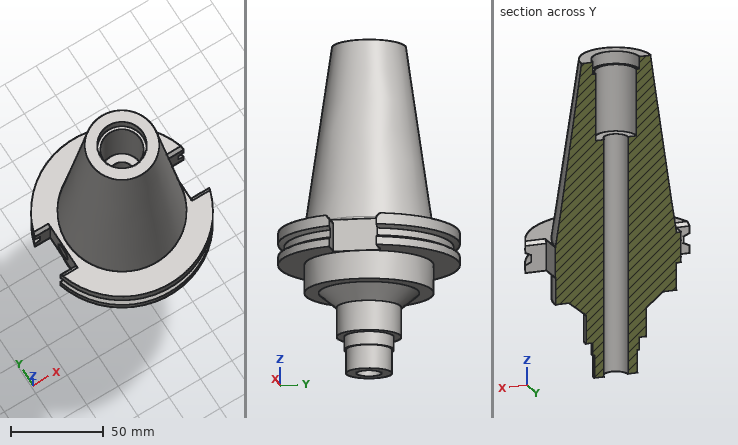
import cadquery as cq

gauge_diameter = 69.85
taper_length = 101.6
taper_ratio = 7 / 24
small_end_diameter = gauge_diameter - taper_length * taper_ratio

flange_diameter = 98.42
flange_top_z = -1.5
flange_bottom_z = -19.05
groove_center_z = -11.1
groove_floor_diameter = 91.8
groove_floor_width = 3.9
groove_mouth_width = 7.0

overall_length = 180.7
nose_bottom_z = taper_length - overall_length
collar_diameter = 70.0
collar_bottom_z = nose_bottom_z + 44.5
cone_top_diameter = 54.5
cone_bottom_z = nose_bottom_z + 36.4
neck_diameter = 35.0
neck_bottom_z = nose_bottom_z + 20.1
shoulder_diameter = 27.0
shoulder_bottom_z = nose_bottom_z + 13.0
pilot_diameter = 25.0

slot_width = 25.9
slot_chamfer = 2.0
slot_floor_left = 37.6
slot_floor_right = 35.3
dimple_diameter = 9.6
dimple_depth = 0.1

counterbore_diameter = 26.8
counterbore_depth = 7.0
stud_bore_diameter = 23.4
stud_bore_depth = 45.0
through_hole_diameter = 13.6


def make_body():
    """Revolve the outer profile about Z."""
    flange_radius = flange_diameter / 2
    groove_radius = groove_floor_diameter / 2
    groove_mouth_top_z = groove_center_z + groove_mouth_width / 2
    groove_mouth_bottom_z = groove_center_z - groove_mouth_width / 2
    groove_floor_top_z = groove_center_z + groove_floor_width / 2
    groove_floor_bottom_z = groove_center_z - groove_floor_width / 2
    profile = [
        (0, taper_length),
        (small_end_diameter / 2, taper_length),
        (gauge_diameter / 2, 0),
        (gauge_diameter / 2, flange_top_z),
        (flange_radius, flange_top_z),
        (flange_radius, groove_mouth_top_z),
        (groove_radius, groove_floor_top_z),
        (groove_radius, groove_floor_bottom_z),
        (flange_radius, groove_mouth_bottom_z),
        (flange_radius, flange_bottom_z),
        (collar_diameter / 2, flange_bottom_z),
        (collar_diameter / 2, collar_bottom_z),
        (cone_top_diameter / 2, collar_bottom_z),
        (neck_diameter / 2, cone_bottom_z),
        (neck_diameter / 2, neck_bottom_z),
        (shoulder_diameter / 2, neck_bottom_z),
        (shoulder_diameter / 2, shoulder_bottom_z),
        (pilot_diameter / 2, shoulder_bottom_z),
        (pilot_diameter / 2, nose_bottom_z),
        (0, nose_bottom_z),
    ]
    return cq.Workplane("YZ").polyline(profile).close().revolve(360, (0, 0), (0, 1))


def make_slot(floor_distance, side):
    """Cutter for a drive slot, chamfered along its top edges; side is +1 for +X and -1 for -X."""
    half_width = slot_width / 2
    mouth_half_width = half_width + slot_chamfer
    section = [
        (-half_width, flange_bottom_z),
        (half_width, flange_bottom_z),
        (half_width, flange_top_z - slot_chamfer),
        (mouth_half_width, flange_top_z),
        (-mouth_half_width, flange_top_z),
        (-half_width, flange_top_z - slot_chamfer),
    ]
    reach = flange_diameter / 2 - floor_distance
    return (
        cq.Workplane("YZ", origin=(side * floor_distance, 0, 0))
        .polyline(section)
        .close()
        .extrude(side * reach)
    )


def make_bore(diameter, depth):
    """Cutter for a round bore sunk from the small end of the taper."""
    return cq.Workplane("XY", origin=(0, 0, taper_length)).circle(diameter / 2).extrude(-depth)


def make_dimple():
    """Cutter for the shallow round recess in the -X slot floor."""
    return (
        cq.Workplane("YZ", origin=(-slot_floor_left, 0, groove_center_z))
        .circle(dimple_diameter / 2)
        .extrude(dimple_depth)
    )


result = make_body()
result = result.cut(make_slot(slot_floor_left, -1))
result = result.cut(make_slot(slot_floor_right, 1))
result = result.cut(make_dimple())
result = result.cut(make_bore(counterbore_diameter, counterbore_depth))
result = result.cut(make_bore(stud_bore_diameter, stud_bore_depth))
result = result.cut(make_bore(through_hole_diameter, overall_length))